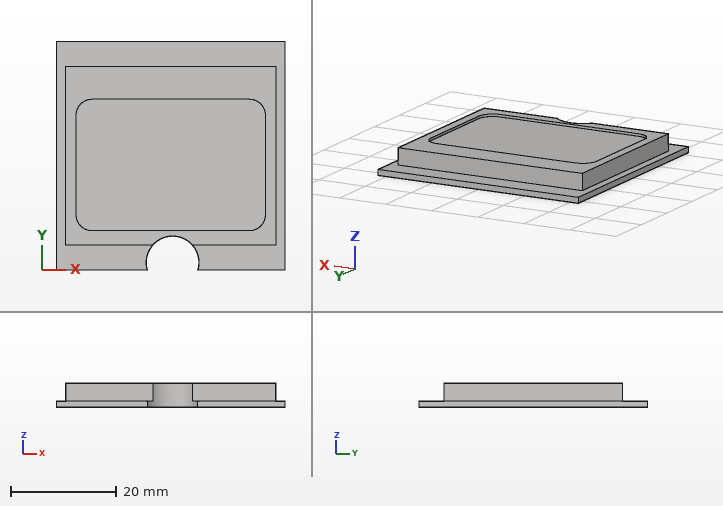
import cadquery as cq

plate_side = 43.5
plate_thickness = 1.2
total_height = 4.6

block_length = 40.0
block_width = 34.0
block_height = total_height - plate_thickness

pocket_length = 36.0
pocket_width = 25.0
pocket_depth = 0.5
pocket_corner_radius = 3.0
pocket_front_wall = 2.75
pocket_center_y = -block_width / 2 + pocket_front_wall + pocket_width / 2

notch_radius = 5.0
notch_center_x = 0.35
notch_center_inset = 1.45
notch_center_y = -plate_side / 2 + notch_center_inset


def make_body():
    plate = cq.Workplane("XY").rect(plate_side, plate_side).extrude(plate_thickness)
    block = (
        cq.Workplane("XY")
        .workplane(offset=plate_thickness)
        .rect(block_length, block_width)
        .extrude(block_height)
    )
    return plate.union(block)


def make_pocket():
    return (
        cq.Workplane("XY")
        .workplane(offset=total_height - pocket_depth)
        .center(0, pocket_center_y)
        .rect(pocket_length, pocket_width)
        .extrude(pocket_depth)
        .edges("|Z")
        .fillet(pocket_corner_radius)
    )


def make_notch():
    return (
        cq.Workplane("XY")
        .center(notch_center_x, notch_center_y)
        .circle(notch_radius)
        .extrude(total_height)
    )


result = make_body().cut(make_pocket()).cut(make_notch())